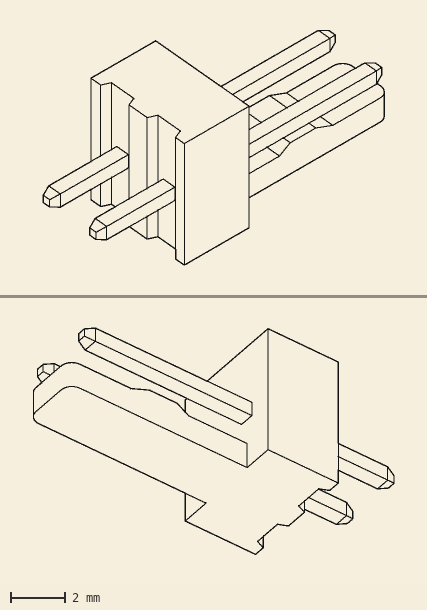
import cadquery as cq

pin_count = 2
pitch = 2.55
row_offset = 0.03
pin_positions = [row_offset + (i - (pin_count - 1) / 2) * pitch for i in range(pin_count)]

body_width = 5.12
body_height = 5.8
body_back = 3.4
body_front = 6.63

groove_depth = 0.38
groove_mouth_width = 1.55
groove_floor_width = 1.23

pin_size = 0.64
pin_tip_size = 0.35
pin_tip_length = 0.4
pin_length = 14.21
pin_height = 2.62

tongue_end = 14.8
tongue_width = pitch
tongue_thickness = 1.15
tongue_corner_radius = 0.5
catch_height = 0.34
catch_back = 9.31
catch_top_back = 9.84
catch_top_front = 11.11
catch_front = 11.96


def make_body():
    length = body_front - body_back
    base = cq.Workplane("XY", origin=(0, body_back, 0))
    return base.box(body_width, length, body_height, centered=(True, False, False))


def make_groove(x):
    half_mouth = groove_mouth_width / 2
    half_floor = groove_floor_width / 2
    floor_y = body_back + groove_depth
    outline = [
        (x - half_mouth, body_back),
        (x + half_mouth, body_back),
        (x + half_floor, floor_y),
        (x - half_floor, floor_y),
    ]
    return cq.Workplane("XY").polyline(outline).close().extrude(body_height)


def make_pin_section(x, start, start_size, end, end_size):
    """Square bar along +Y whose side may change from start to end."""
    section = cq.Workplane("XZ", origin=(x, start, pin_height)).rect(start_size, start_size)
    return section.workplane(offset=start - end).rect(end_size, end_size).loft(ruled=True)


def make_pin(x):
    shank_start = pin_tip_length
    shank_end = pin_length - pin_tip_length
    shank = make_pin_section(x, shank_start, pin_size, shank_end, pin_size)
    back_tip = make_pin_section(x, 0, pin_tip_size, shank_start, pin_size)
    front_tip = make_pin_section(x, shank_end, pin_size, pin_length, pin_tip_size)
    return shank.union(back_tip).union(front_tip)


def make_tongue():
    catch_top = tongue_thickness + catch_height
    profile = [
        (body_front, 0),
        (tongue_end, 0),
        (tongue_end, tongue_thickness),
        (catch_front, tongue_thickness),
        (catch_top_front, catch_top),
        (catch_top_back, catch_top),
        (catch_back, tongue_thickness),
        (body_front, tongue_thickness),
    ]
    tongue = cq.Workplane("YZ").polyline(profile).close().extrude(tongue_width / 2, both=True)
    return tongue.faces(">Y").edges("|Z").fillet(tongue_corner_radius)


result = make_body().union(make_tongue())
for pin_x in pin_positions:
    result = result.cut(make_groove(pin_x)).union(make_pin(pin_x))